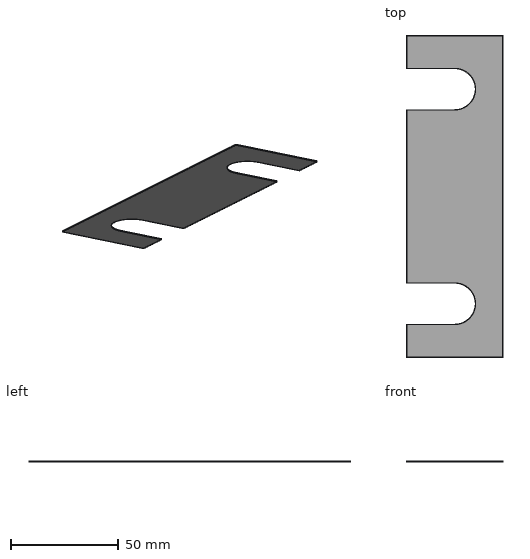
import cadquery as cq

width = 45.0
length = 150.0
thickness = 0.5

slot_width = 19.2
slot_spacing = 100.0
slot_center_depth = 22.5

slot_radius = slot_width / 2
open_edge_x = -width / 2
round_center_x = open_edge_x + slot_center_depth


def open_slot(center_y):
    """Cutter for one slot, running through the plate from the open edge."""
    bottom_y = center_y - slot_radius
    top_y = center_y + slot_radius
    return (
        cq.Workplane("XY")
        .moveTo(open_edge_x, bottom_y)
        .lineTo(round_center_x, bottom_y)
        .threePointArc((round_center_x + slot_radius, center_y), (round_center_x, top_y))
        .lineTo(open_edge_x, top_y)
        .close()
        .extrude(thickness, both=True)
    )


result = cq.Workplane("XY").box(width, length, thickness)
for slot_y in (-slot_spacing / 2, slot_spacing / 2):
    result = result.cut(open_slot(slot_y))